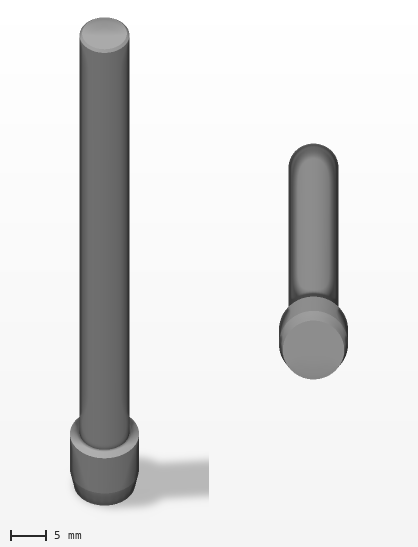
import cadquery as cq

total_length = 90.0

pin_diameter = 7.0
pin_top_chamfer = 0.4

bushing_diameter = 9.7
bushing_length = 10.35
rim_slope_width = 1.0
rim_slope_height = 0.4
taper_length = 3.0
taper_end_diameter = 8.6


def make_pin():
    """Plain round pin with a chamfered top, running the full length."""
    pin = cq.Workplane("XY").circle(pin_diameter / 2).extrude(total_length)
    return pin.faces(">Z").chamfer(pin_top_chamfer)


def make_bushing():
    """Sleeve around the foot of the pin, with a sloped upper rim and a tapered lower end."""
    bore_radius = pin_diameter / 2
    outer_radius = bushing_diameter / 2
    profile = (
        cq.Workplane("XZ")
        .moveTo(bore_radius, 0)
        .lineTo(taper_end_diameter / 2, 0)
        .lineTo(outer_radius, taper_length)
        .lineTo(outer_radius, bushing_length - rim_slope_height)
        .lineTo(outer_radius - rim_slope_width, bushing_length)
        .lineTo(bore_radius, bushing_length)
        .close()
    )
    return profile.revolve(360, (0, 0, 0), (0, 1, 0))


pin = make_pin()
bushing = make_bushing()

result = cq.Compound.makeCompound([pin.val(), bushing.val()])